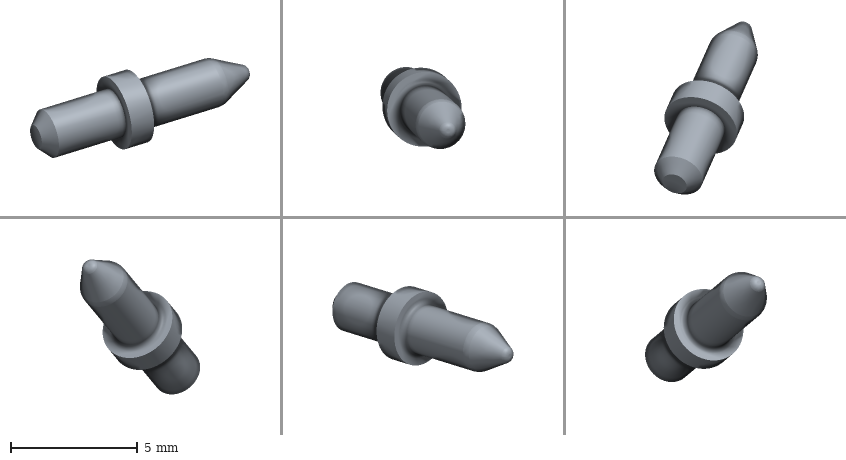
import cadquery as cq

total_length = 9.5
rear_face_y = -total_length / 2
tip_y = total_length / 2

collar_diameter = 3.0
collar_radius = collar_diameter / 2
pin_radius = collar_radius * 2 / 3

post_length = 3.5
post_chamfer = pin_radius / 2

collar_thickness = pin_radius
collar_fillet = 0.2

taper_length = 1.5 * pin_radius
tip_radius = pin_radius / 4
shoulder_rounding = 0.6
tip_rounding = 0.28

collar_rear_y = rear_face_y + post_length
collar_front_y = collar_rear_y + collar_thickness
shoulder_y = tip_y - taper_length


def edge_at(y, radius):
    """Select the circular edge of the given radius around the Y axis at station y."""
    margin = 0.01
    return cq.selectors.BoxSelector(
        (-radius - margin, y - margin, -radius - margin),
        (radius + margin, y + margin, radius + margin),
        boundingbox=True,
    )


def make_post():
    """Straight rear post with a chamfered free end, butting against the collar."""
    post = cq.Workplane("XZ", origin=(0, collar_rear_y, 0)).circle(pin_radius).extrude(post_length)
    return post.faces("<Y").edges().chamfer(post_chamfer)


def make_collared_pin():
    """Front pin with a collar at its base and a rounded, tapered nose."""
    profile = [
        (0, collar_rear_y),
        (collar_radius, collar_rear_y),
        (collar_radius, collar_front_y),
        (pin_radius, collar_front_y),
        (pin_radius, shoulder_y),
        (tip_radius, tip_y),
        (0, tip_y),
    ]
    pin = cq.Workplane("XY").polyline(profile).close().revolve(360, (0, 0, 0), (0, 1, 0))
    pin = pin.edges(edge_at(collar_front_y, pin_radius)).fillet(collar_fillet)
    pin = pin.edges(edge_at(shoulder_y, pin_radius)).fillet(shoulder_rounding)
    return pin.edges(edge_at(tip_y, tip_radius)).fillet(tip_rounding)


post = make_post()
collared_pin = make_collared_pin()

result = cq.Compound.makeCompound([post.val(), collared_pin.val()])